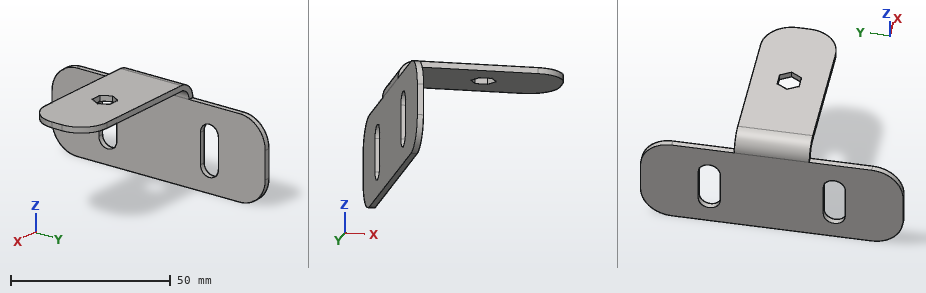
import cadquery as cq
import math

thickness = 2.0
outer_bend_radius = 6.0
inner_bend_radius = outer_bend_radius - thickness

plate_width = 84.0
plate_height = 30.0
corner_radius = 10.0

tab_reach = 55.0
tab_width = 24.0
bracket_height = plate_height + outer_bend_radius

slot_spacing = 40.0
slot_length = 18.0
slot_width = 7.0
slot_center_height = 14.5

hex_across_flats = 7.0
hex_across_corners = hex_across_flats / math.cos(math.radians(30))
hex_center_x = 30.0


def make_plate():
    """Upright plate with rounded corners, its outer face on X = 0."""
    return (
        cq.Workplane("YZ")
        .center(0, plate_height / 2)
        .rect(plate_width, plate_height)
        .extrude(thickness)
        .edges("|X")
        .fillet(corner_radius)
    )


def make_tab():
    """Quarter-round bend rising from the plate and running into the flat tab."""
    bend_center = (outer_bend_radius, plate_height)
    tab_underside = bracket_height - thickness
    diagonal = math.cos(math.radians(45))
    outer_mid = (
        bend_center[0] - outer_bend_radius * diagonal,
        bend_center[1] + outer_bend_radius * diagonal,
    )
    inner_mid = (
        bend_center[0] - inner_bend_radius * diagonal,
        bend_center[1] + inner_bend_radius * diagonal,
    )
    return (
        cq.Workplane("XZ")
        .moveTo(0, plate_height)
        .threePointArc(outer_mid, (outer_bend_radius, bracket_height))
        .lineTo(tab_reach, bracket_height)
        .lineTo(tab_reach, tab_underside)
        .lineTo(outer_bend_radius, tab_underside)
        .threePointArc(inner_mid, (thickness, plate_height))
        .close()
        .extrude(tab_width / 2, both=True)
        .edges("|Z and >X")
        .fillet(corner_radius)
    )


def make_slots():
    """Cutters for the two vertical mounting slots."""
    return (
        cq.Workplane("YZ")
        .center(0, slot_center_height)
        .pushPoints([(-slot_spacing / 2, 0), (slot_spacing / 2, 0)])
        .slot2D(slot_length, slot_width, 90)
        .extrude(thickness)
    )


def make_hex_hole():
    """Cutter for the hexagonal hole, with two corners pointing along X."""
    return (
        cq.Workplane("XY")
        .workplane(offset=bracket_height - thickness)
        .center(hex_center_x, 0)
        .polygon(6, hex_across_corners)
        .extrude(thickness)
    )


bracket = make_plate().union(make_tab())
result = bracket.cut(make_slots()).cut(make_hex_hole())